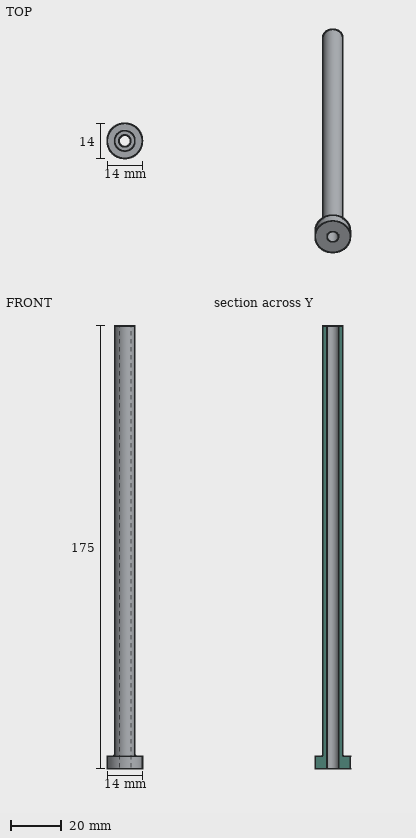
import cadquery as cq

total_length = 175.0
head_diameter = 14.0
head_height = 5.0
tube_diameter = 8.0
bore_diameter = 4.5
neck_fillet = 0.5


def cylinder(diameter, height):
    """Upright cylinder standing on the base plane, centred on the Z axis."""
    return cq.Workplane("XY").circle(diameter / 2).extrude(height)


body = cylinder(head_diameter, head_height).union(cylinder(tube_diameter, total_length))

smallest_circles = cq.selectors.RadiusNthSelector(0)
body = body.edges(smallest_circles).edges("<Z").fillet(neck_fillet)

result = body.cut(cylinder(bore_diameter, total_length))